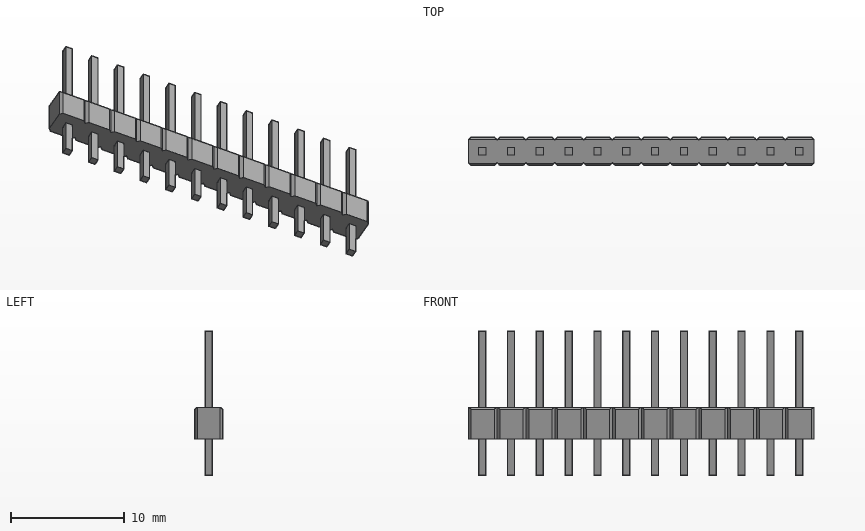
import cadquery as cq

cell_count = 12
row_length = 30.48
pitch = row_length / cell_count

housing_depth = 2.5
housing_height = 2.8
corner_chamfer = 0.25
top_chamfer = 0.192

pin_width = 0.65
pin_length = 12.7
pin_below_housing = 3.2
pin_offset = -0.05


def cell_center(index):
    """X position of the middle of a cell, with the row centred on X = 0."""
    return (index - (cell_count - 1) / 2) * pitch


def make_cell(x):
    """One housing cell with chamfered upright corners and long top edges."""
    block = cq.Workplane("XY").box(pitch, housing_depth, housing_height, centered=(True, True, False))
    block = block.edges("|Z").chamfer(corner_chamfer)
    half_depth = housing_depth / 2
    profile = (
        cq.Workplane("YZ")
        .moveTo(-half_depth, 0)
        .lineTo(half_depth, 0)
        .lineTo(half_depth, housing_height - top_chamfer)
        .lineTo(half_depth - top_chamfer, housing_height)
        .lineTo(-half_depth + top_chamfer, housing_height)
        .lineTo(-half_depth, housing_height - top_chamfer)
        .close()
        .extrude(pitch / 2, both=True)
    )
    return block.intersect(profile).translate((x, 0, 0))


def make_pin(x):
    """One square pin standing through the housing."""
    pin = cq.Workplane("XY").box(pin_width, pin_width, pin_length, centered=(True, True, False))
    return pin.translate((x, 0, -pin_below_housing))


result = cq.Workplane("XY")
for index in range(cell_count):
    x = cell_center(index)
    result = result.union(make_cell(x))
    result = result.union(make_pin(x + pin_offset))
result = result.clean()